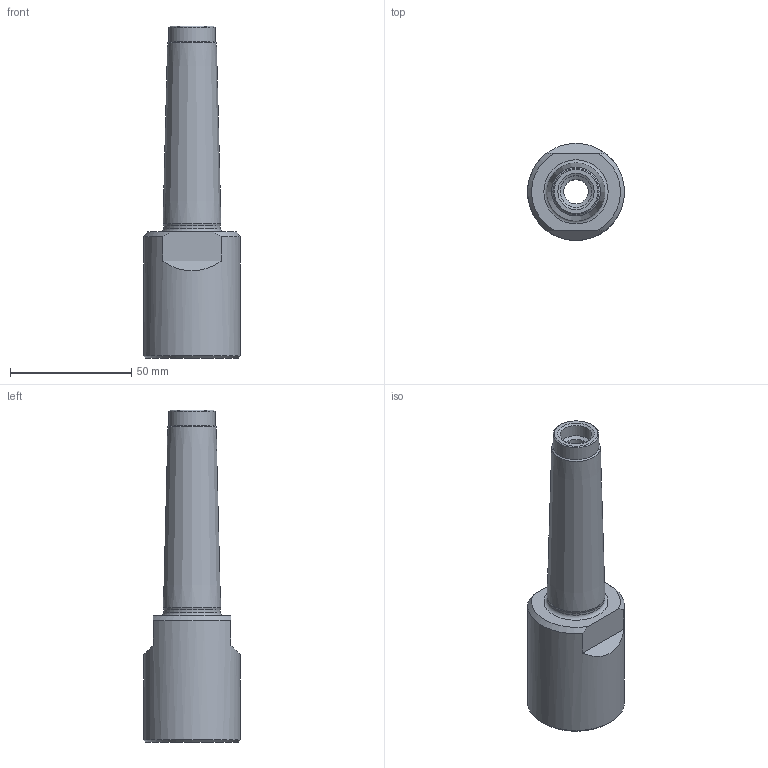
import cadquery as cq
import math

body_diameter = 40.0
body_height = 52.0
body_top_chamfer_height = 2.0
body_top_chamfer_width = 1.7
body_bottom_chamfer = 1.0

across_flats = 32.0
flat_height = 12.0

total_height = 137.0
taper_ratio = 1 / 19.922
gauge_diameter = 23.825
gauge_height = 5.0
taper_start_height = 3.3

neck_diameter = 23.5
neck_fillet = 1.5
neck_top_height = 2.5

pilot_diameter = 19.0
pilot_length = 6.5
pilot_step_chamfer = 0.5
pilot_tip_chamfer = 0.45

bore_diameter = 10.11
counterbore_diameter = 13.0
counterbore_depth = 5.75
mouth_diameter = 15.0
countersink_half_angle = math.radians(60)


def taper_radius(z):
    """Radius of the Morse taper at height z."""
    above_gauge = z - (body_height + gauge_height)
    return (gauge_diameter - above_gauge * taper_ratio) / 2


def countersink_depth(large_diameter, small_diameter):
    """Depth of a countersink between two diameters."""
    return (large_diameter - small_diameter) / 2 / math.tan(countersink_half_angle)


def make_body():
    body = cq.Workplane("XY").circle(body_diameter / 2).extrude(body_height)
    body = body.faces(">Z").chamfer(body_top_chamfer_height, body_top_chamfer_width)
    return body.faces("<Z").chamfer(body_bottom_chamfer)


def cut_flats(body):
    """Cut a wrench flat with a sloping run-out on the +Y and -Y sides."""
    flat_y = across_flats / 2
    outer_y = body_diameter / 2
    flat_bottom = body_height - flat_height
    runout_bottom = flat_bottom - (outer_y - flat_y)
    for side in (1, -1):
        cutter = (
            cq.Workplane("YZ")
            .moveTo(side * flat_y, body_height)
            .lineTo(side * flat_y, flat_bottom)
            .lineTo(side * outer_y, runout_bottom)
            .lineTo(side * outer_y, body_height)
            .close()
            .extrude(body_diameter / 2, both=True)
        )
        body = body.cut(cutter)
    return body


def make_shank():
    """Revolve the filleted neck, the taper and the pilot, starting inside the body."""
    neck_radius = neck_diameter / 2
    pilot_radius = pilot_diameter / 2
    root_z = body_height - body_top_chamfer_height
    fillet_foot_radius = neck_radius + neck_fillet
    fillet_top = body_height + neck_fillet
    fillet_inset = neck_fillet * (1 - math.sqrt(0.5))
    taper_start = body_height + taper_start_height
    pilot_start = total_height - pilot_length
    taper_end = pilot_start - pilot_step_chamfer
    return (
        cq.Workplane("XZ")
        .moveTo(0, root_z)
        .lineTo(fillet_foot_radius, root_z)
        .lineTo(fillet_foot_radius, body_height)
        .threePointArc(
            (neck_radius + fillet_inset, body_height + fillet_inset),
            (neck_radius, fillet_top),
        )
        .lineTo(neck_radius, body_height + neck_top_height)
        .lineTo(taper_radius(taper_start), taper_start)
        .lineTo(taper_radius(taper_end), taper_end)
        .lineTo(pilot_radius, pilot_start)
        .lineTo(pilot_radius, total_height - pilot_tip_chamfer)
        .lineTo(pilot_radius - pilot_tip_chamfer, total_height)
        .lineTo(0, total_height)
        .close()
        .revolve(360, (0, 0), (0, 1))
    )


def make_bore():
    """Through bore with a counterbore and a countersunk mouth at the shank end."""
    bore_radius = bore_diameter / 2
    counterbore_radius = counterbore_diameter / 2
    mouth_bottom = total_height - countersink_depth(mouth_diameter, counterbore_diameter)
    counterbore_bottom = total_height - counterbore_depth
    seat_bottom = counterbore_bottom - countersink_depth(counterbore_diameter, bore_diameter)
    return (
        cq.Workplane("XZ")
        .lineTo(bore_radius, 0)
        .lineTo(bore_radius, seat_bottom)
        .lineTo(counterbore_radius, counterbore_bottom)
        .lineTo(counterbore_radius, mouth_bottom)
        .lineTo(mouth_diameter / 2, total_height)
        .lineTo(0, total_height)
        .close()
        .revolve(360, (0, 0), (0, 1))
    )


result = cut_flats(make_body()).union(make_shank()).cut(make_bore())